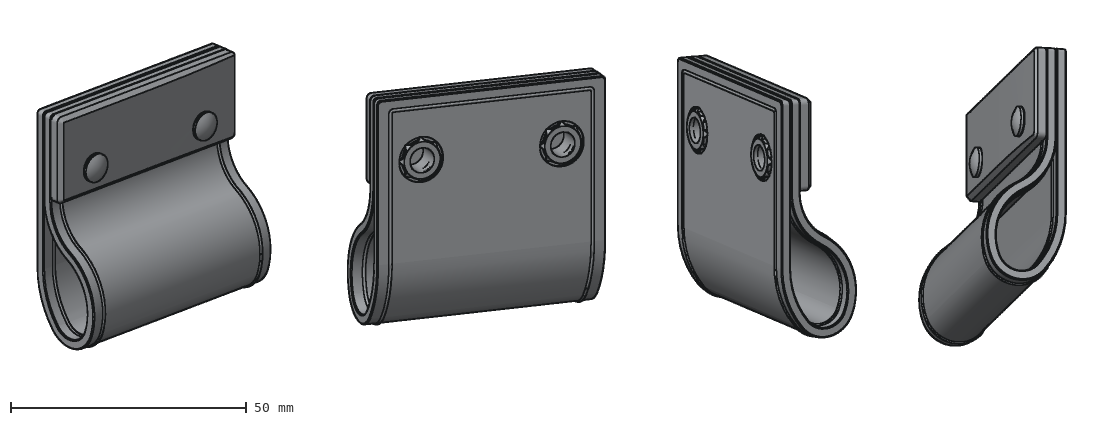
import cadquery as cq
import math


width = 52.0
half_width = width / 2
thickness = 2.17
lap_gap = 0.06
lap_face = 2 * thickness + lap_gap
corner_radius = 1.0
edge_chamfer = 0.25

loop_top = -36.3
side_radius = 20.65
side_angle = 39.7
bottom_radius = 7.0
bottom_angle = 119.3
front_radius = 14.2
front_angle = 82.3
neck_angle = side_angle + bottom_angle + front_angle - 180.0

block_height = 20.0
block_corner = 1.2
block_straight = 1.95
block_crown = 2.95
block_end = 2.55
bevel_angle = 45.0
block_face = lap_face + block_crown

rib_radius = 0.38
rib_height = 0.3
rib_side_y = half_width - 3.0
rib_top = 2.45
rib_corner = 0.7

rivet_spacing = 32.0
rivet_drop = 14.0
shank_radius = 3.0
bore_radius = 2.75
bore_depth = 6.5
dome_radius = 3.2
dome_rim = 0.7
dome_height = 1.7
head_proud = 0.55
head_sink = 0.5
head_radius = 4.1
disc_radius = 4.25
star_radius = 5.0


def arc_chain(x, z, heading, arcs):
    """Tangent arcs from (x, z) as (middle, end) pairs; arcs are (radius, turn), left turns positive."""
    chain = []
    for radius, turn in arcs:
        side = math.copysign(1.0, turn)
        center_x = x - side * radius * math.sin(heading)
        center_z = z + side * radius * math.cos(heading)
        points = []
        for part in (0.5, 1.0):
            angle = heading + part * math.radians(turn)
            points.append((center_x + side * radius * math.sin(angle),
                           center_z - side * radius * math.cos(angle)))
        chain.append(points)
        heading += math.radians(turn)
        x, z = points[-1]
    return chain


def loop_arcs(inset, neck_spread=0.0):
    """Loop outline moved inward, with the neck ending the given distance short of the lap in X."""
    arcs = [
        (side_radius - inset, side_angle),
        (bottom_radius - inset, bottom_angle),
        (front_radius - inset, front_angle),
    ]
    start = (inset, loop_top)
    chain = arc_chain(*start, -math.pi / 2, arcs)
    neck_turn = 1 - math.cos(math.radians(neck_angle))
    neck_radius = (chain[-1][1][0] - (lap_face - inset)) / neck_turn
    left_out = math.degrees(math.acos(1 - neck_spread / neck_radius))
    arcs.append((neck_radius, left_out - neck_angle))
    return arc_chain(*start, -math.pi / 2, arcs)


def add_arcs(sketch, chain):
    """Continue a sketch along an arc chain."""
    for middle, end in chain:
        sketch = sketch.threePointArc(middle, end)
    return sketch


def reversed_chain(start, chain):
    """The arc chain from the given start, followed backwards."""
    ends = [start] + [end for _, end in chain[:-1]]
    return [(middle, end) for (middle, _), end in zip(reversed(chain), reversed(ends))]


def make_strap():
    """Folded strap with rounded corners at its two ends and chamfered edges."""
    outer = loop_arcs(0)
    inner = loop_arcs(thickness)
    outline = cq.Workplane("XZ", origin=(0, half_width, 0)).moveTo(0, 0).lineTo(0, loop_top)
    outline = add_arcs(outline, outer).lineTo(lap_face, 0).lineTo(lap_face - thickness, 0)
    outline = outline.lineTo(*inner[-1][1])
    outline = add_arcs(outline, reversed_chain((thickness, loop_top), inner))
    outline = outline.lineTo(thickness, 0).close()
    strap = outline.extrude(width)
    strap = strap.faces(">Z").edges("|X").fillet(corner_radius)
    return strap.faces("<Y or >Y or >Z").edges().chamfer(edge_chamfer)


def make_block():
    """Rounded block with bevelled edges and a face that bulges along Y."""
    block = (
        cq.Workplane("YZ", origin=(lap_face, 0, -block_height / 2))
        .rect(width, block_height)
        .extrude(block_straight)
        .edges("|X")
        .fillet(block_corner)
    )
    bevel = block_crown - block_straight
    bevelled = block.faces(">X").wires().toPending().workplane().extrude(bevel, taper=bevel_angle)
    crown = (
        cq.Workplane("XY", origin=(lap_face, 0, -block_height))
        .moveTo(0, -half_width)
        .lineTo(block_end, -half_width)
        .threePointArc((block_crown, 0), (block_end, half_width))
        .lineTo(0, half_width)
        .close()
        .extrude(block_height)
    )
    return bevelled.intersect(crown)


def sweep_rib(path):
    """Round rib along a wire."""
    section = cq.Workplane(cq.Plane(origin=path.startPoint(), normal=path.tangentAt(0)))
    return section.circle(rib_radius).sweep(cq.Workplane(path))


def arc_edges(y, start, chain):
    """Edges of an arc chain in the plane at the given Y."""
    edges = []
    for middle, end in chain:
        edges.append(cq.Edge.makeThreePointArc(*[cq.Vector(x, y, z) for x, z in (start, middle, end)]))
        start = end
    return edges


def make_outer_rib():
    """Up one side of the loop, across the flat face below its top edge and down the other side."""
    inset = rib_radius - rib_height
    chain = loop_arcs(inset)
    corner_y = rib_side_y - rib_corner
    corner_z = -rib_top - rib_corner
    corner_middle = rib_corner * math.sqrt(0.5)

    def point(y, z):
        return cq.Vector(inset, y, z)

    def side_edges(y):
        straight = cq.Edge.makeLine(point(y, corner_z), point(y, loop_top))
        return [straight] + arc_edges(y, (inset, loop_top), chain)

    def corner_edge(side):
        return cq.Edge.makeThreePointArc(
            point(side * rib_side_y, corner_z),
            point(side * (corner_y + corner_middle), corner_z + corner_middle),
            point(side * corner_y, -rib_top),
        )

    top_edge = cq.Edge.makeLine(point(-corner_y, -rib_top), point(corner_y, -rib_top))
    path = side_edges(-rib_side_y)[::-1] + [corner_edge(-1), top_edge, corner_edge(1)] + side_edges(rib_side_y)
    return sweep_rib(cq.Wire.assembleEdges(path))


def make_inner_rib(y):
    """Around the inside of the loop, ending where the ribs on the two layers would meet."""
    inset = thickness - rib_radius + rib_height
    chain = loop_arcs(inset, neck_spread=2 * rib_height)
    start = (inset, loop_top)
    rib_end_z = chain[-1][1][1]
    straight = cq.Edge.makeLine(cq.Vector(inset, y, rib_end_z), cq.Vector(inset, y, loop_top))
    return sweep_rib(cq.Wire.assembleEdges([straight] + arc_edges(y, start, chain)))


def rivet_axis(y, x):
    """Sketch plane across the axis of the rivet at the given Y."""
    return cq.Workplane("YZ", origin=(x, y, -rivet_drop))


def cut_rivet_seat(clip, y):
    """Cut the shank hole and the round recess for the head."""
    head_recess = rivet_axis(y, -rib_height).circle(star_radius).extrude(rib_height + head_sink)
    hole = rivet_axis(y, 0).circle(shank_radius).extrude(block_face)
    return clip.cut(head_recess).cut(hole)


def make_head(y):
    """Disc with an eight-pointed star around it, its rim bevelled to a cone."""
    height = head_proud + head_sink
    face = rivet_axis(y, -head_proud)
    cone = face.circle(head_radius).workplane(offset=height).circle(star_radius).loft()
    side = math.sqrt(2) * star_radius
    square = face.rect(side, side).extrude(height)
    turned_square = square.rotate((0, y, -rivet_drop), (1, y, -rivet_drop), 45)
    disc = face.circle(disc_radius).extrude(height)
    return disc.union(square).union(turned_square).intersect(cone)


def make_dome(y):
    """Domed end with a short upright rim, revolved about the rivet axis."""
    rise = dome_height - dome_rim
    sphere_radius = (dome_radius ** 2 + rise ** 2) / (2 * rise)
    middle_radius = dome_radius / 2
    middle_height = dome_height - sphere_radius + math.sqrt(sphere_radius ** 2 - middle_radius ** 2)
    return (
        cq.Workplane("XY", origin=(block_face, y, -rivet_drop))
        .lineTo(0, dome_radius)
        .lineTo(dome_rim, dome_radius)
        .threePointArc((middle_height, middle_radius), (dome_height, 0))
        .close()
        .revolve(360, (0, 0), (1, 0))
    )


def make_rivet(y):
    """Rivet along X with a star head, a hollow shank and a domed end."""
    shank = rivet_axis(y, 0).circle(shank_radius).extrude(block_face)
    bore = rivet_axis(y, -head_proud).circle(bore_radius).extrude(bore_depth)
    return make_head(y).union(shank).union(make_dome(y)).cut(bore)


rivet_places = [-rivet_spacing / 2, rivet_spacing / 2]

clip = make_strap().union(make_block()).union(make_outer_rib())
for rib_y in (-rib_side_y, rib_side_y):
    clip = clip.union(make_inner_rib(rib_y))
for rivet_y in rivet_places:
    clip = cut_rivet_seat(clip, rivet_y)

rivets = [make_rivet(rivet_y) for rivet_y in rivet_places]

result = cq.Compound.makeCompound([clip.val(), *[rivet.val() for rivet in rivets]])